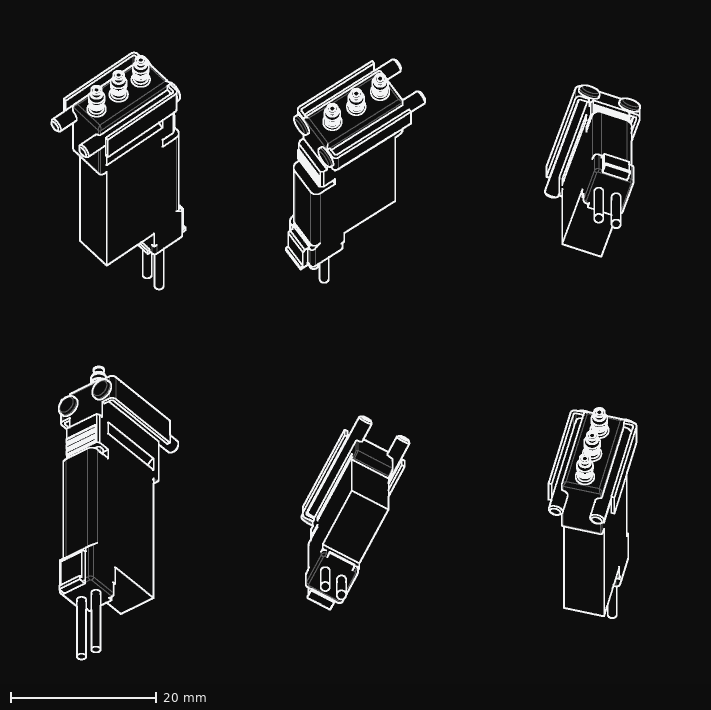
import cadquery as cq


wire_bottom = 0
leg_bottom = 10.05
foot_top = 12.3
body_bottom = 15.2
shell_top = 33.55
head_bottom = 36.2
head_top = 47.2
barb_top = 51.6

body_width = 5.75
body_front = -4.6
body_back = 5.5
shell_back = 9.0
shell_round = 1.0
head_front = -5.95
head_back = 6.85
head_top_round = 0.5
head_side_round = 0.2
head_lip_round = 1.05
leg_front = 3.95
leg_back = 9.4
leg_round = 0.5
leg_slope_rise = 1.25
foot_bottom_round = 0.35

groove_diameter = 2.0
groove_height = 38.9

port_span = 8.0
port_count = 3
bore_diameter = 0.8
bore_depth = 4.15
tip_diameter = 1.5
stem_diameter = 1.4
cone_top_diameter = 1.65
neck_diameter = 1.9
waist_diameter = 1.8
base_diameter = 2.0
barb_diameter = 2.2
flange_diameter = 2.6
tip_length = 0.15
stem_length = 0.8
cone_length = 0.6
barb_length = 0.7
neck_length = 0.55
waist_length = 0.45

bracket_width = 9.4
bracket_top = 46.6
bracket_bottom = 42.65
bracket_thickness = 0.45
bracket_outer_bend = 0.6
bracket_inner_bend = 0.25
screw_diameter = 2.0
screw_spacing = 5.9
screw_height = 44.7
screw_tip = -9.05
screw_tip_chamfer = 0.25
screw_head_diameter = 3.0
screw_head_length = 0.65
screw_head_round = 0.3

connector_bottom = 35.1
connector_top = 40.05
connector_back = 7.85
connector_chamfer_x = 0.25
connector_chamfer_y = 0.4
rib_count = 3
rib_spacing = 1.1
rib_height = 0.6
rib_depth = 0.15
rib_width = 5.15
first_rib_height = 35.3
pin_bottom = 34.15
pin_width = 4.65
pin_front = 6.0
pin_back = 6.9
pin_round = 0.3

clip_width = 3.6
clip_back = 10.15
clip_top = 15.05
clip_bottom = 9.45
clip_chamfer_y = 0.3
clip_chamfer_z = 0.45
clip_seat_width = 3.9
clip_seat_front = 9.1
clip_toe_back = 10.6
clip_toe_top = 10.05
tab_width = 3.9
tab_front = 3.6
tab_height = 0.7
wire_diameter = 1.3
wire_spacing = 2.55
wire_y = 6.25


def block(width, y_front, y_back, z_bottom, z_top):
    """Box centred on X = 0."""
    return cq.Workplane("XY").box(
        width, y_back - y_front, z_top - z_bottom, centered=(True, False, False)
    ).translate((0, y_front, z_bottom))


def side_profile(width, points):
    """Outline of (y, z) points extruded symmetrically across X."""
    return cq.Workplane("YZ").polyline(points).close().extrude(width / 2, both=True)


def y_cylinder(diameter, x, z, y_front, y_back):
    return (
        cq.Workplane("XZ", origin=(x, y_front, z))
        .circle(diameter / 2)
        .extrude(y_front - y_back)
    )


def make_housing():
    """Head and body in one outline, with a rounded back shell lower down."""
    housing = side_profile(body_width, [
        (body_front, body_bottom),
        (body_back, body_bottom),
        (body_back, head_bottom),
        (head_back, head_bottom),
        (head_back, head_top),
        (head_front, head_top),
        (head_front, head_bottom),
        (body_front, head_bottom),
    ])
    housing = housing.edges("|X").edges("<Y").edges("<Z").fillet(head_lip_round)
    housing = housing.edges("|Z").edges("<Y").fillet(head_side_round)
    housing = housing.faces(">Z").edges().fillet(head_top_round)
    shell = block(body_width, leg_front, shell_back, body_bottom, shell_top)
    shell = shell.edges("|Z and >Y").fillet(shell_round)
    return housing.union(shell)


def make_leg():
    slope_bottom = body_bottom + leg_round
    slope_front = shell_back - shell_round
    leg = side_profile(body_width, [
        (leg_front, foot_top),
        (leg_back, foot_top),
        (leg_back, slope_bottom),
        (slope_front, slope_bottom + leg_slope_rise),
        (leg_front, slope_bottom + leg_slope_rise),
    ])
    leg = leg.edges("|Z and >Y").fillet(leg_round)
    foot = block(body_width, leg_front, leg_back, leg_bottom, foot_top)
    foot = foot.edges("|Z").fillet(leg_round)
    foot = foot.faces("<Z").edges().fillet(foot_bottom_round)
    tab = block(tab_width, tab_front, wire_y, leg_bottom, leg_bottom + tab_height)
    clip_seat = block(
        clip_seat_width, clip_seat_front, leg_back, clip_top, slope_bottom + leg_slope_rise
    )
    return leg.cut(clip_seat).union(foot).union(tab)


def make_clip():
    return side_profile(clip_width, [
        (clip_seat_front, clip_top),
        (clip_back - clip_chamfer_y, clip_top),
        (clip_back, clip_top - clip_chamfer_z),
        (clip_back, clip_toe_top),
        (clip_toe_back, clip_toe_top),
        (clip_toe_back, clip_bottom),
        (leg_back, clip_bottom),
        (leg_back, clip_toe_top),
        (clip_seat_front, clip_toe_top + leg_back - clip_seat_front),
    ])


def make_connector():
    half_width = body_width / 2
    connector = (
        cq.Workplane("XY", origin=(0, 0, connector_bottom))
        .moveTo(-half_width, body_back)
        .lineTo(-half_width, connector_back - connector_chamfer_y)
        .lineTo(-half_width + connector_chamfer_x, connector_back)
        .lineTo(half_width - connector_chamfer_x, connector_back)
        .lineTo(half_width, connector_back - connector_chamfer_y)
        .lineTo(half_width, body_back)
        .close()
        .extrude(connector_top - connector_bottom)
    )
    for index in range(rib_count):
        rib_bottom = first_rib_height + index * rib_spacing
        connector = connector.union(block(
            rib_width, body_back, connector_back + rib_depth, rib_bottom, rib_bottom + rib_height
        ))
    pins = block(pin_width, pin_front, pin_back, pin_bottom, connector_top)
    pins = pins.edges("|Z and >Y").fillet(pin_round)
    return connector.union(pins)


def make_port(y):
    """Turned hose barb with a flared base."""
    tip_bottom = barb_top - tip_length
    cone_top = tip_bottom - stem_length
    cone_bottom = cone_top - cone_length
    barb_bottom = cone_bottom - barb_length
    neck_bottom = barb_bottom - neck_length
    waist_bottom = neck_bottom - waist_length
    flare_top = head_top + (flange_diameter - base_diameter) / 2
    root = head_top - head_top_round
    return (
        cq.Workplane("XZ", origin=(0, y, 0))
        .moveTo(0, barb_top)
        .lineTo(tip_diameter / 2, barb_top)
        .lineTo(tip_diameter / 2, tip_bottom)
        .lineTo(stem_diameter / 2, tip_bottom)
        .lineTo(stem_diameter / 2, cone_top)
        .lineTo(cone_top_diameter / 2, cone_top)
        .lineTo(barb_diameter / 2, cone_bottom)
        .lineTo(barb_diameter / 2, barb_bottom)
        .lineTo(neck_diameter / 2, barb_bottom)
        .lineTo(neck_diameter / 2, neck_bottom)
        .lineTo(waist_diameter / 2, neck_bottom)
        .lineTo(waist_diameter / 2, waist_bottom)
        .lineTo(base_diameter / 2, waist_bottom)
        .lineTo(base_diameter / 2, flare_top)
        .lineTo(flange_diameter / 2, head_top)
        .lineTo(flange_diameter / 2, root)
        .lineTo(0, root)
        .close()
        .revolve(360, (0, 0, 0), (0, 1, 0))
    )


def make_bracket():
    """U-shaped sheet around the back and sides of the head."""
    bracket = block(bracket_width, head_front, head_back, bracket_bottom, bracket_top)
    bracket = bracket.edges("|Z and >Y").fillet(bracket_outer_bend)
    opening = block(
        bracket_width - 2 * bracket_thickness,
        head_front, head_back - bracket_thickness, bracket_bottom, bracket_top,
    )
    opening = opening.edges("|Z and >Y").fillet(bracket_inner_bend)
    return bracket.cut(opening)


def make_screw(x):
    shank = y_cylinder(screw_diameter, x, screw_height, screw_tip, head_back)
    shank = shank.faces("<Y").chamfer(screw_tip_chamfer)
    head = y_cylinder(screw_head_diameter, x, screw_height, head_back, head_back + screw_head_length)
    return shank.union(head.faces(">Y").edges().fillet(screw_head_round))


def make_wire(x):
    return (
        cq.Workplane("XY", origin=(x, wire_y, wire_bottom))
        .circle(wire_diameter / 2)
        .extrude(foot_top - wire_bottom)
    )


def make_groove(x):
    return y_cylinder(groove_diameter, x, groove_height, body_front, body_back)


result = make_housing().union(make_leg()).union(make_connector())
result = result.union(make_bracket()).union(make_clip())

for side in (-1, 1):
    result = result.cut(make_groove(side * body_width / 2))
    result = result.union(make_screw(side * screw_spacing / 2))
    result = result.union(make_wire(side * wire_spacing / 2))

for index in range(port_count):
    port_y = port_span * (index / (port_count - 1) - 0.5)
    result = result.union(make_port(port_y))
    bore = (
        cq.Workplane("XY", origin=(0, port_y, barb_top))
        .circle(bore_diameter / 2)
        .extrude(-bore_depth)
    )
    result = result.cut(bore)